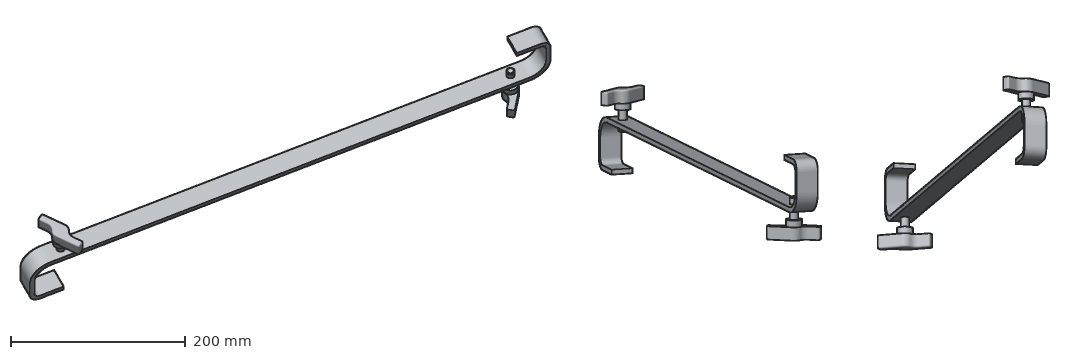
import cadquery as cq
import math

LENGTH = 660.0
HEIGHT = 122.0
STRAP_WIDTH = 26.0
STRAP_THICKNESS = 6.0
LARGE_BEND_RADIUS = 26.5
SMALL_BEND_RADIUS = 13.0
LIP_LENGTH = 43.0

SCREW_Y = 285.0
SCREW_DIAMETER = 10.0
TIP_CHAMFER = 1.0
TIP_HEIGHT = 11.0
COLLAR_DIAMETER = 18.5
COLLAR_START = 15.0
KNOB_START = 23.0
KNOB_THICKNESS = 16.0

KNOB_SPAN = 59.5
HUB_RADIUS = 10.0
WING_THICKNESS = 9.0
WING_ANGLE = 35.0
WING_ROOT_FILLET = 10.0
WING_END_FILLET = 2.0
KNOB_EDGE_FILLET = 2.0

HALF_TURN = 180.0


def make_hook():
    """Hook rising at the +Y end, with half of the long straight."""
    half_length = LENGTH / 2
    underside = -STRAP_THICKNESS / 2
    top = HEIGHT / 2
    inner_y = half_length - STRAP_THICKNESS
    inner_top = top - STRAP_THICKNESS
    large_bend_y = half_length - LARGE_BEND_RADIUS
    large_bend_z = underside + LARGE_BEND_RADIUS
    small_bend_y = half_length - SMALL_BEND_RADIUS
    small_bend_z = top - SMALL_BEND_RADIUS
    lip_end = half_length - LIP_LENGTH
    large_inner = LARGE_BEND_RADIUS - STRAP_THICKNESS
    small_inner = SMALL_BEND_RADIUS - STRAP_THICKNESS
    return (
        cq.Workplane("YZ")
        .moveTo(0, underside)
        .lineTo(large_bend_y, underside)
        .radiusArc((half_length, large_bend_z), -LARGE_BEND_RADIUS)
        .lineTo(half_length, small_bend_z)
        .radiusArc((small_bend_y, top), -SMALL_BEND_RADIUS)
        .lineTo(lip_end, top)
        .lineTo(lip_end, inner_top)
        .lineTo(small_bend_y, inner_top)
        .radiusArc((inner_y, small_bend_z), small_inner)
        .lineTo(inner_y, large_bend_z)
        .radiusArc((large_bend_y, -underside), large_inner)
        .lineTo(0, -underside)
        .close()
        .extrude(STRAP_WIDTH / 2, both=True)
    )


def turn_about_x(shape, angle):
    return shape.rotate((0, 0, 0), (1, 0, 0), angle)


def make_strap():
    """Complete strap with a hole for each screw."""
    hook = make_hook()
    holes = (
        cq.Workplane("XY")
        .pushPoints([(0, SCREW_Y), (0, -SCREW_Y)])
        .circle(SCREW_DIAMETER / 2)
        .extrude(STRAP_THICKNESS, both=True)
    )
    return hook.union(turn_about_x(hook, HALF_TURN)).cut(holes)


def make_wing():
    """One wing along +X, its +Y face tangent to the hub, its -Y face blended into the hub."""
    inner_face = HUB_RADIUS - WING_THICKNESS
    angle = math.radians(WING_ANGLE)
    corner_reach = KNOB_SPAN / 2 - WING_END_FILLET
    corner_rise = (HUB_RADIUS - WING_END_FILLET) * math.sin(angle)
    wing_end = WING_END_FILLET + (corner_reach - corner_rise) / math.cos(angle)
    fillet_y = inner_face - WING_ROOT_FILLET
    center_distance = HUB_RADIUS + WING_ROOT_FILLET
    fillet_x = math.sqrt(center_distance ** 2 - fillet_y ** 2)
    on_hub = HUB_RADIUS / center_distance
    return (
        cq.Workplane("XY")
        .moveTo(0, 0)
        .lineTo(0, HUB_RADIUS)
        .lineTo(wing_end, HUB_RADIUS)
        .lineTo(wing_end, inner_face)
        .lineTo(fillet_x, inner_face)
        .radiusArc((fillet_x * on_hub, fillet_y * on_hub), -WING_ROOT_FILLET)
        .close()
        .extrude(-KNOB_THICKNESS)
        .edges(">X and |Z")
        .fillet(WING_END_FILLET)
    )


def make_knob():
    """Hub with two wings, from z = 0 down, its outer edge rounded."""
    wing = make_wing()
    hub = cq.Workplane("XY").circle(HUB_RADIUS).extrude(-KNOB_THICKNESS)
    knob = hub.union(wing).union(wing.rotate((0, 0, 0), (0, 0, 1), HALF_TURN))
    return knob.faces("<Z").edges().fillet(KNOB_EDGE_FILLET).rotate((0, 0, 0), (0, 0, 1), -WING_ANGLE)


def make_screw():
    """Screw for the +Y end: tip up through the strap, knob below."""
    shank = (
        cq.Workplane("XY", origin=(0, 0, -KNOB_START))
        .circle(SCREW_DIAMETER / 2)
        .extrude(KNOB_START + TIP_HEIGHT)
        .faces(">Z")
        .chamfer(TIP_CHAMFER)
    )
    collar = (
        cq.Workplane("XY", origin=(0, 0, -KNOB_START))
        .circle(COLLAR_DIAMETER / 2)
        .extrude(KNOB_START - COLLAR_START)
    )
    knob = make_knob().translate((0, 0, -KNOB_START))
    return shank.union(collar).union(knob).translate((0, SCREW_Y, 0))


strap = make_strap()
screws = [turn_about_x(make_screw(), angle) for angle in (0, HALF_TURN)]

result = cq.Compound.makeCompound([strap.val(), *[screw.val() for screw in screws]])